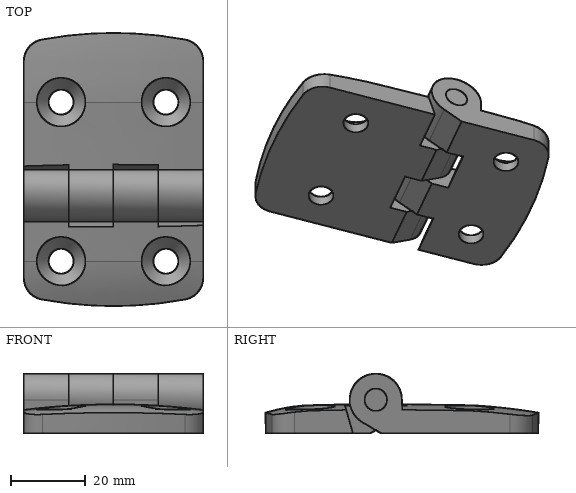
import cadquery as cq
import math

hinge_width = 48.0
half_width = hinge_width / 2
knuckle_count = 4
knuckle_width = hinge_width / knuckle_count

barrel_radius = 7.0
pivot_height = 9.0
pin_diameter = 6.0

long_leaf_end = 43.5
long_leaf_screws = 25.0
short_leaf_end = 29.5
short_leaf_screws = 17.5

end_arc_radius = 105.0
corner_radius = 6.0

crown_radius = 190.0
crown_height = 7.85
crown_screw_height = 7.6
crown_end_height = 5.55
long_arc_sagitta = 0.28
short_arc_sagitta = 0.40
sweep_margin = 2.0

gap_wall_base = 6.1
gap_wall_angle = 16.0

ramp_start = 1.45

screw_spacing = 28.0
screw_hole_diameter = 6.6
countersink_diameter = 13.0
countersink_angle = 90.0
countersink_seat_height = 6.4

block_height = 2 * pivot_height


def crown_solid(leaf_end, screw_line, arc_sagitta):
    """Revolved body whose upper face is the crowned top of a leaf."""
    axis_height = crown_height - crown_radius
    floor = -crown_height
    arc_middle = (screw_line + leaf_end) / 2
    arc_middle_height = (crown_screw_height + crown_end_height) / 2 + arc_sagitta
    profile = (
        cq.Workplane("YZ")
        .moveTo(gap_wall_base, floor)
        .lineTo(gap_wall_base, crown_height)
        .lineTo(screw_line, crown_screw_height)
        .threePointArc((arc_middle, arc_middle_height), (leaf_end, crown_end_height))
        .lineTo(leaf_end, floor)
        .close()
    )
    half_sweep = math.degrees(math.asin(half_width / crown_radius)) + sweep_margin
    crown = profile.revolve(2 * half_sweep, (0, axis_height, 0), (1, axis_height, 0))
    return crown.rotate((0, 0, axis_height), (0, 1, axis_height), -half_sweep)


def plate_block(leaf_end):
    """Straight-sided block with the plan outline of a leaf."""
    end_arc_drop = end_arc_radius - math.sqrt(end_arc_radius**2 - half_width**2)
    corner = leaf_end - end_arc_drop
    return (
        cq.Workplane("XY")
        .moveTo(-half_width, gap_wall_base)
        .lineTo(-half_width, corner)
        .threePointArc((0, leaf_end), (half_width, corner))
        .lineTo(half_width, gap_wall_base)
        .close()
        .extrude(block_height)
        .edges("|Z")
        .edges(">Y")
        .fillet(corner_radius)
    )


def gap_cutter(x_start):
    """Wedge that leans the plate's inner wall back, one knuckle wide."""
    lean = block_height * math.tan(math.radians(gap_wall_angle))
    return (
        cq.Workplane("YZ", origin=(x_start, 0, 0))
        .moveTo(gap_wall_base, 0)
        .lineTo(gap_wall_base + lean, block_height)
        .lineTo(gap_wall_base, block_height)
        .close()
        .extrude(knuckle_width)
    )


def knuckle(x_start):
    """Barrel segment with a straight outer flank and a ramp up from the bottom face."""
    start_distance = math.hypot(ramp_start, pivot_height)
    ramp_angle = math.atan2(pivot_height, ramp_start) - math.asin(barrel_radius / start_distance)
    tangent_point = (
        -barrel_radius * math.sin(ramp_angle),
        pivot_height - barrel_radius * math.cos(ramp_angle),
    )
    middle_angle = (ramp_angle + math.pi / 2) / 2
    lower_middle = (
        -barrel_radius * math.sin(middle_angle),
        pivot_height - barrel_radius * math.cos(middle_angle),
    )
    return (
        cq.Workplane("YZ", origin=(x_start, 0, 0))
        .moveTo(ramp_start, 0)
        .lineTo(*tangent_point)
        .threePointArc(lower_middle, (-barrel_radius, pivot_height))
        .threePointArc((0, pivot_height + barrel_radius), (barrel_radius, pivot_height))
        .lineTo(barrel_radius, 0)
        .close()
        .extrude(knuckle_width)
    )


def pivot_rod():
    """Cylinder along the pivot axis over the whole hinge width."""
    return (
        cq.Workplane("YZ", origin=(-half_width, 0, pivot_height))
        .circle(pin_diameter / 2)
        .extrude(hinge_width)
    )


def screw_cutter(x, y):
    """Through hole with a conical seat and a straight bore above it."""
    hole_radius = screw_hole_diameter / 2
    seat_radius = countersink_diameter / 2
    cone_depth = (seat_radius - hole_radius) / math.tan(math.radians(countersink_angle / 2))
    return (
        cq.Workplane("XZ")
        .moveTo(0, 0)
        .lineTo(hole_radius, 0)
        .lineTo(hole_radius, countersink_seat_height - cone_depth)
        .lineTo(seat_radius, countersink_seat_height)
        .lineTo(seat_radius, block_height)
        .lineTo(0, block_height)
        .close()
        .revolve(360, (0, 0, 0), (0, 1, 0))
        .translate((x, y, 0))
    )


def leaf(leaf_end, screw_line, arc_sagitta):
    """Hinge leaf reaching toward +Y, with knuckles and gaps alternating from -X."""
    body = plate_block(leaf_end).intersect(crown_solid(leaf_end, screw_line, arc_sagitta))
    for index in range(knuckle_count):
        x_start = -half_width + index * knuckle_width
        if index % 2 == 0:
            body = body.cut(gap_cutter(x_start))
        else:
            body = body.union(knuckle(x_start))
    for x in (-screw_spacing / 2, screw_spacing / 2):
        body = body.cut(screw_cutter(x, screw_line))
    return body.cut(pivot_rod())


long_leaf = leaf(long_leaf_end, long_leaf_screws, long_arc_sagitta)

short_leaf = leaf(short_leaf_end, short_leaf_screws, short_arc_sagitta).rotate(
    (0, 0, 0), (0, 0, 1), 180
)

pin = pivot_rod()

result = cq.Compound.makeCompound(
    [long_leaf.solids().val(), short_leaf.solids().val(), pin.val()]
)